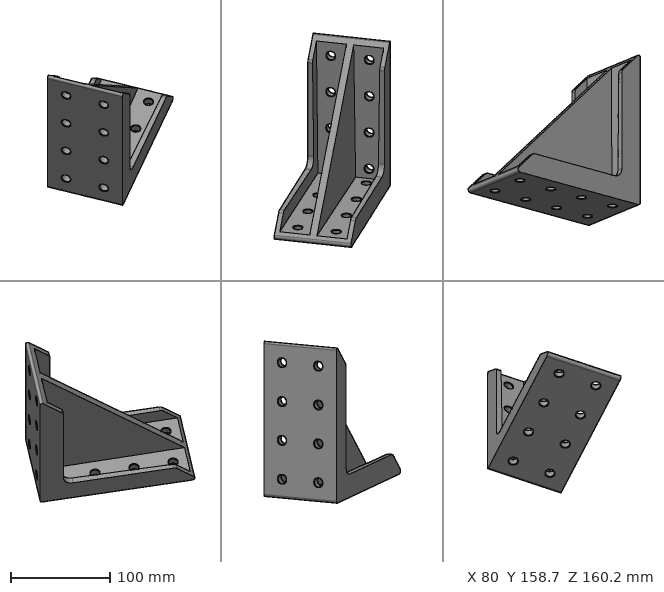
import cadquery as cq
import math

width = 80.0
height = 160.2
depth = 158.7
top_tip_radius = 2.0
heel_radius = 2.5

leg = height + math.sqrt(2) * top_tip_radius
front_tip_radius = (leg - depth) / math.sqrt(2)

side_wall = 5.0
rib_thickness = 7.5
rim_plate = 8.2
heel_plate = 9.3
wall_draft = 1.0
rib_draft = 1.3

window_border = 24.0
window_corner_radius = 10.0
window_edge_radius = 5.0

hole_diameter = 9.0
hole_chamfer = 0.6
hole_pitch = 40.0
hole_start = 20.0
rows = 4

clearance = 16.0


def prism(points, x_start, x_end):
    """Extrude a closed (y, z) outline between two x positions."""
    return (
        cq.Workplane("YZ", origin=(x_start, 0, 0))
        .polyline(points)
        .close()
        .extrude(x_end - x_start)
    )


def rounded_bracket():
    body = prism([(0, 0), (leg, 0), (0, leg)], -width / 2, width / 2)
    body = body.edges("|X").edges(">Z").fillet(top_tip_radius)
    body = body.edges("|X").edges(">Y and <Z").fillet(front_tip_radius)
    heel = cq.selectors.NearestToPointSelector((0, 0, 0))
    return body.edges(heel).fillet(heel_radius)


def pocket(side):
    """Triangular pocket on the given side of the rib, narrowing inwards."""
    rim_reach = leg - rim_plate
    wall_slope = (heel_plate - rim_plate) / (rim_reach - heel_plate)
    reach = rim_reach + clearance
    reach_plate = rim_plate - wall_slope * clearance
    outline = [
        (heel_plate, heel_plate),
        (reach, reach_plate),
        (reach, reach),
        (reach_plate, reach),
    ]
    hollow = prism(outline, -width / 2, width / 2)

    inner = rib_thickness / 2
    outer = width / 2 - side_wall
    wall_inset = math.tan(math.radians(wall_draft))
    rib_inset = math.tan(math.radians(rib_draft))
    bottom = leg / math.sqrt(2)
    section = [
        (inner - clearance * rib_inset, clearance),
        (outer + clearance * wall_inset, clearance),
        (outer - bottom * wall_inset, -bottom),
        (inner + bottom * rib_inset, -bottom),
    ]
    slope = cq.Plane(origin=(0, leg / 2, leg / 2), xDir=(1, 0, 0), normal=(0, -1, 1))
    wedge = (
        cq.Workplane(slope)
        .polyline([(side * x, up) for x, up in section])
        .close()
        .extrude(leg, both=True)
    )
    return hollow.intersect(wedge)


def window(side):
    """Opening in one side wall, flared by rounds where it meets the slope."""
    far = leg - window_border
    tangent = window_edge_radius * math.tan(math.pi / 8)
    diagonal = tangent / math.sqrt(2)
    bend = window_edge_radius * (1 - math.cos(math.pi / 8))
    bend_along = window_edge_radius * math.sin(math.pi / 8)
    border = window_border
    corner = border + window_corner_radius
    corner_mid = corner - window_corner_radius / math.sqrt(2)
    return (
        cq.Workplane("YZ", origin=(side * width / 4, 0, 0))
        .moveTo(corner, border)
        .lineTo(far - tangent, border)
        .threePointArc(
            (far - tangent + bend_along, border - bend),
            (far + diagonal, border - diagonal),
        )
        .lineTo(leg, leg)
        .lineTo(border - diagonal, far + diagonal)
        .threePointArc(
            (border - bend, far - tangent + bend_along),
            (border, far - tangent),
        )
        .lineTo(border, corner)
        .threePointArc((corner_mid, corner_mid), (corner, border))
        .close()
        .extrude(side * width / 2)
    )


def bolt_hole(along):
    """Upright hole cutter, chamfered on both faces of the plate at y = along."""
    run = (along - heel_plate) / (leg - rim_plate - heel_plate)
    plate = heel_plate + run * (rim_plate - heel_plate)
    radius = hole_diameter / 2
    mouth = radius + hole_chamfer
    return (
        cq.Workplane("XZ")
        .polyline([
            (0, 0),
            (mouth, 0),
            (radius, hole_chamfer),
            (radius, plate - hole_chamfer),
            (mouth, plate),
            (mouth, plate + hole_chamfer),
            (0, plate + hole_chamfer),
        ])
        .close()
        .revolve(360, (0, 0), (0, 1))
    )


result = rounded_bracket()
for side in (-1, 1):
    result = result.cut(pocket(side)).cut(window(side))

for side in (-1, 1):
    for row in range(rows):
        along = hole_start + row * hole_pitch
        place = (side * hole_pitch / 2, along, 0)
        floor_hole = bolt_hole(along).translate(place)
        wall_hole = floor_hole.mirror((0, 1, -1))
        result = result.cut(floor_hole).cut(wall_hole)